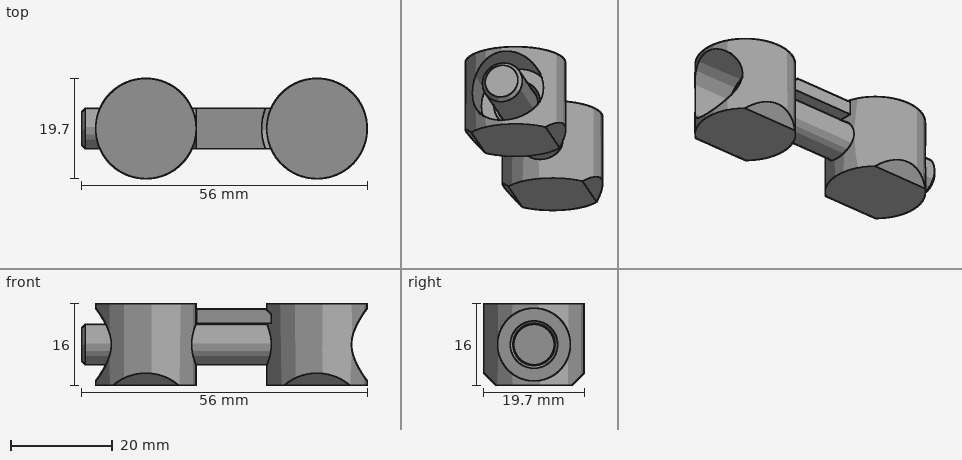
import cadquery as cq

BARREL_DIAMETER = 19.7
BARREL_HEIGHT = 16.0
BARREL_SPACING = 33.55
FLAT_CHAMFER = 2.4
COUNTERBORE_DIAMETER = 14.3
COUNTERBORE_DEPTH = 11.2
HOLE_DIAMETER = 8.2
HOLE_CHAMFER = 0.55

PIN_DIAMETER = 8.0
PIN_OVERHANG = 12.6
PIN_CHAMFER = 0.7

BAR_WIDTH = PIN_DIAMETER
BAR_TOP = 7.0
BAR_BOTTOM = 4.15
BAR_END_GAP = 0.05
BAR_CHAMFER = 1.0

BARREL_RADIUS = BARREL_DIAMETER / 2
HOLE_RADIUS = HOLE_DIAMETER / 2
COUNTERBORE_FLOOR = COUNTERBORE_DEPTH - BARREL_RADIUS


def x_cylinder(diameter, start, end):
    """Cylinder along the X axis between two X positions."""
    return cq.Workplane("YZ", origin=(start, 0, 0)).circle(diameter / 2).extrude(end - start)


def make_barrel():
    """Barrel centred on the origin with its counterbore opening toward -X."""
    body = cq.Workplane("XY").circle(BARREL_RADIUS).extrude(BARREL_HEIGHT / 2, both=True)
    flats = (
        cq.Workplane("XY")
        .box(BARREL_DIAMETER, BARREL_DIAMETER, BARREL_HEIGHT)
        .edges("<Z and |X")
        .chamfer(FLAT_CHAMFER)
    )
    counterbore = x_cylinder(COUNTERBORE_DIAMETER, -BARREL_RADIUS, COUNTERBORE_FLOOR)
    hole = x_cylinder(HOLE_DIAMETER, -BARREL_RADIUS, BARREL_RADIUS)
    countersink = cq.Solid.makeCone(
        HOLE_RADIUS + HOLE_CHAMFER,
        HOLE_RADIUS,
        HOLE_CHAMFER,
        pnt=cq.Vector(COUNTERBORE_FLOOR, 0, 0),
        dir=cq.Vector(1, 0, 0),
    )
    return body.intersect(flats).cut(counterbore).cut(hole).cut(countersink)


def make_bar():
    """Bar that joins the right barrel, with a notch that chamfers its top edge around the barrel."""
    start = BARREL_RADIUS + BAR_END_GAP
    end = BARREL_SPACING - HOLE_RADIUS
    bar = (
        cq.Workplane("XY", origin=(0, 0, BAR_BOTTOM))
        .center((start + end) / 2, 0)
        .rect(end - start, BAR_WIDTH)
        .extrude(BAR_TOP - BAR_BOTTOM)
    )
    notch = (
        cq.Workplane("XZ")
        .moveTo(0, BAR_TOP - BAR_CHAMFER)
        .lineTo(BARREL_RADIUS, BAR_TOP - BAR_CHAMFER)
        .lineTo(BARREL_RADIUS + BAR_CHAMFER, BAR_TOP)
        .lineTo(0, BAR_TOP)
        .close()
        .revolve(360, (0, 0, 0), (0, 1, 0))
        .translate((BARREL_SPACING, 0, 0))
    )
    return bar.cut(notch)


def make_right_barrel():
    """Barrel turned to open toward +X, with the spacer bar on its inner side."""
    barrel = make_barrel().rotate((0, 0, 0), (0, 0, 1), 180).translate((BARREL_SPACING, 0, 0))
    return barrel.union(make_bar())


def make_pin():
    """Plain pin ending flush with the right counterbore floor, chamfered at the left end."""
    pin = x_cylinder(PIN_DIAMETER, -PIN_OVERHANG, BARREL_SPACING - COUNTERBORE_FLOOR)
    return pin.faces("<X").chamfer(PIN_CHAMFER)


left_barrel = make_barrel()
right_barrel = make_right_barrel()
pin = make_pin()

result = cq.Compound.makeCompound([left_barrel.val(), right_barrel.val(), pin.val()])